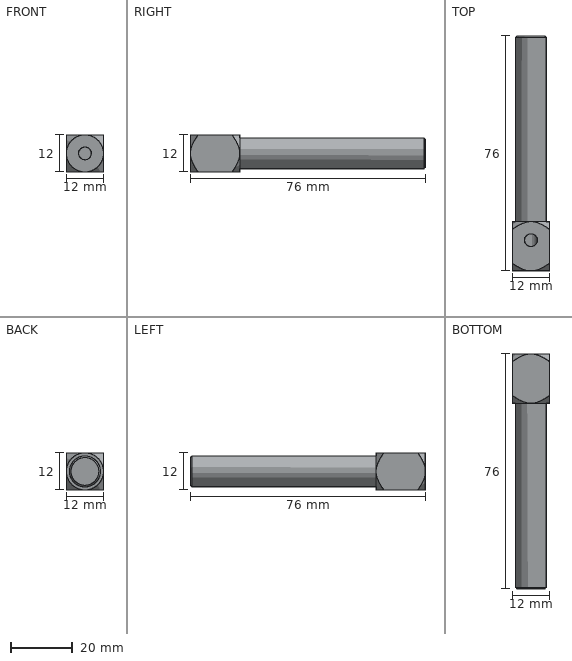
import cadquery as cq

total_length = 76.0
head_width = 12.0
head_length = 15.95
head_face_diameter = head_width
rod_diameter = 10.0
rod_length = total_length - head_length
rod_tip_chamfer = 0.5
passage_diameter = 4.1
cross_hole_from_shoulder = 6.0

head_front_y = -total_length / 2
shoulder_y = head_front_y + head_length
cross_hole_y = shoulder_y - cross_hole_from_shoulder


def cylinder_along_y(diameter, start_y, length):
    """Cylinder on the main axis, growing toward +Y."""
    plane = cq.Plane(origin=(0, start_y, 0), xDir=(1, 0, 0), normal=(0, 1, 0))
    return cq.Workplane(plane).circle(diameter / 2).extrude(length)


def make_head():
    """Square head with 45 degree turned corners and an L-shaped passage."""
    block = cq.Workplane("XY").box(head_width, head_length, head_width)
    block = block.translate((0, head_front_y + head_length / 2, 0))

    envelope_diameter = 2 * head_width
    cone_length = (envelope_diameter - head_face_diameter) / 2
    front_cone = cylinder_along_y(envelope_diameter, head_front_y, head_length)
    front_cone = front_cone.faces("<Y").chamfer(cone_length)
    back_cone = cylinder_along_y(envelope_diameter, head_front_y, head_length)
    back_cone = back_cone.faces(">Y").chamfer(cone_length)
    head = block.intersect(front_cone).intersect(back_cone)

    axial_bore = cylinder_along_y(passage_diameter, head_front_y, head_length)
    cross_hole = (
        cq.Workplane("XY")
        .center(0, cross_hole_y)
        .circle(passage_diameter / 2)
        .extrude(head_width)
    )
    return head.cut(axial_bore).cut(cross_hole)


def make_rod():
    """Plain round rod seated on the head's shoulder, chamfered at its free end."""
    rod = cylinder_along_y(rod_diameter, shoulder_y, rod_length)
    return rod.faces(">Y").chamfer(rod_tip_chamfer)


head = make_head()
rod = make_rod()
result = cq.Compound.makeCompound([head.solids().val(), rod.solids().val()])